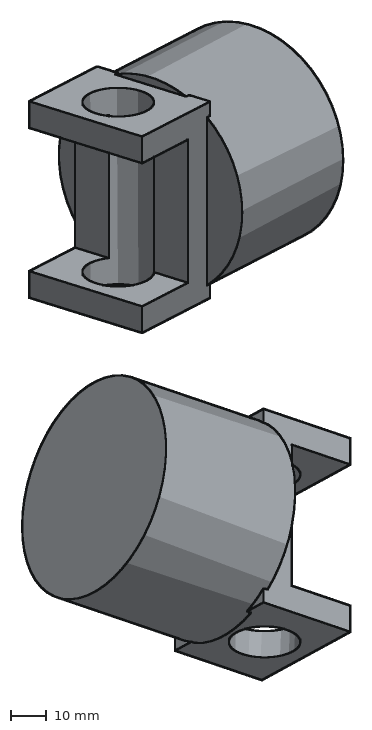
import cadquery as cq

total_length = 75.5
body_diameter = 65.0
body_length = 46.0

bracket_width = 40.0
bracket_height = 60.0
bracket_depth = 31.0
arm_thickness = 8.15
gap_depth = 20.85

pin_diameter = 20.0
pin_setback = 14.8

body_front = total_length - body_length
gap_height = bracket_height - 2 * arm_thickness


def front_block(depth, height):
    """Block of the bracket's width, reaching back from the front plane."""
    return cq.Workplane("XY").box(bracket_width, depth, height, centered=(True, False, True))


body = (
    cq.Workplane("XZ", origin=(0, body_front, 0))
    .circle(body_diameter / 2)
    .extrude(-body_length)
)

bracket = front_block(bracket_depth, bracket_height)
arm_gap = front_block(gap_depth, gap_height)

pin_hole = (
    cq.Workplane("XY", origin=(0, pin_setback, -bracket_height / 2))
    .circle(pin_diameter / 2)
    .extrude(bracket_height)
)

result = body.union(bracket).cut(arm_gap).cut(pin_hole)